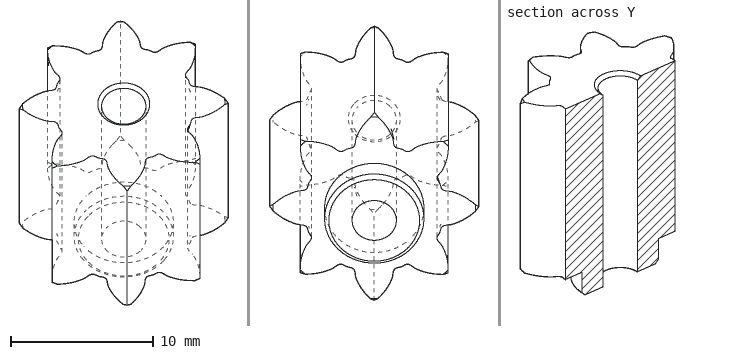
import cadquery as cq
import math

TOOTH_COUNT = 8
TIP_RADIUS = 7.371
BASE_RADIUS = 4.9
FLANK_START_RADIUS = 5.14
FLANK_STEPS = 6
GEAR_LENGTH = 14.29
TIP_CHAMFER = 0.25

ROOT_RADIUS = 5.0
ROOT_WIDTH = 0.94

HUB_DIAMETER = 7.0
HUB_LENGTH = 2.0
HUB_CHAMFER = 0.3

BORE_DIAMETER = 3.12
BORE_CHAMFER = 0.27

TOOTH_PITCH = 2 * math.pi / TOOTH_COUNT


def polar(radius, angle):
    return (radius * math.cos(angle), radius * math.sin(angle))


def involute_angle(radius):
    """Angle swept by an involute between the base circle and the given radius."""
    pressure_angle = math.acos(BASE_RADIUS / radius)
    return math.tan(pressure_angle) - pressure_angle


def half_gap_angle(radius):
    """Half the angle a gap spans at a radius; neighbouring gaps meet at the pointed tooth tips."""
    half_tooth_angle = involute_angle(TIP_RADIUS) - involute_angle(radius)
    return TOOTH_PITCH / 2 - half_tooth_angle


def half_gap_profile():
    """(radius, angle from the gap axis) points from a tooth tip down to the edge of the root."""
    flank_height = TIP_RADIUS - FLANK_START_RADIUS
    radii = [TIP_RADIUS - flank_height * step / FLANK_STEPS for step in range(FLANK_STEPS + 1)]
    flank = [(radius, half_gap_angle(radius)) for radius in radii]
    root_edge = (ROOT_RADIUS, ROOT_WIDTH / 2 / ROOT_RADIUS)
    return flank + [root_edge]


def gap_points(axis_angle):
    """Points along one gap: down a flank, across the root and up the facing flank."""
    half = half_gap_profile()
    falling = [polar(radius, axis_angle - angle) for radius, angle in half]
    rising = [polar(radius, axis_angle + angle) for radius, angle in reversed(half)]
    return falling + [polar(ROOT_RADIUS, axis_angle)] + rising


def gear_outline():
    """Pointed involute teeth, with each gap from tip to tip one smooth curve."""
    outline = cq.Workplane("XY").moveTo(*polar(TIP_RADIUS, -TOOTH_PITCH / 2))
    for gap in range(TOOTH_COUNT):
        outline = outline.spline(gap_points(gap * TOOTH_PITCH)[1:], includeCurrent=True)
    return outline.close()


def make_gear():
    """Toothed bar whose tooth tips are chamfered at both ends by a chamfered round blank."""
    blank = cq.Workplane("XY").circle(TIP_RADIUS).extrude(GEAR_LENGTH)
    blank = blank.faces("<Z or >Z").chamfer(TIP_CHAMFER)
    return gear_outline().extrude(GEAR_LENGTH).intersect(blank)


def make_hub():
    hub = cq.Workplane("XY").circle(HUB_DIAMETER / 2).extrude(-HUB_LENGTH)
    return hub.faces("<Z").chamfer(HUB_CHAMFER)


def make_bore():
    """Cutting body for the through bore and its chamfer in the top face."""
    drill = cq.Workplane("XY").workplane(offset=-HUB_LENGTH)
    drill = drill.circle(BORE_DIAMETER / 2).extrude(HUB_LENGTH + GEAR_LENGTH)
    mouth = cq.Solid.makeCone(
        BORE_DIAMETER / 2,
        BORE_DIAMETER / 2 + BORE_CHAMFER,
        BORE_CHAMFER,
        pnt=cq.Vector(0, 0, GEAR_LENGTH - BORE_CHAMFER),
    )
    return drill.union(cq.Workplane(mouth))


result = make_gear().union(make_hub()).cut(make_bore()).solids()